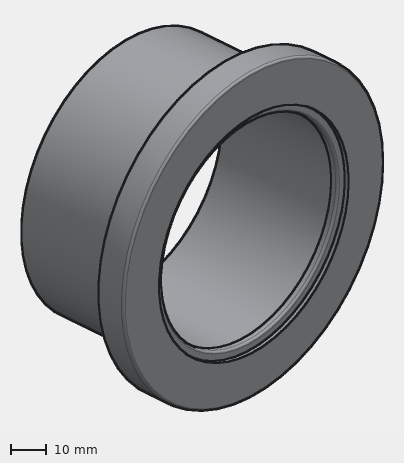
import cadquery as cq

total_length = 48.0
sleeve_diameter = 88.0
flange_diameter = 106.0
flange_thickness = 10.0

bore_diameter = 75.0
bore_depth = 44.0
lip_diameter = 71.25
lip_thickness = 2.5
recess_diameter = 77.0

edge_radius = 0.75

flange_start = total_length - flange_thickness
lip_end = bore_depth + lip_thickness


def cylinder(diameter, start, end):
    """Solid cylinder on the X axis between two stations."""
    return cq.Workplane("YZ").workplane(offset=start).circle(diameter / 2).extrude(end - start)


def make_sleeve():
    """Sleeve with its outer rim at the open end rounded."""
    sleeve = cylinder(sleeve_diameter, 0, total_length)
    return sleeve.faces("<X").edges().fillet(edge_radius)


def make_flange():
    """Flange disc with both outer rims rounded."""
    flange = cylinder(flange_diameter, flange_start, total_length)
    return flange.edges("%CIRCLE").fillet(edge_radius)


def make_lip():
    """Ring that narrows the bore, its inner edge rounded on the recess side."""
    ring = cylinder(recess_diameter, bore_depth, lip_end).cut(cylinder(lip_diameter, bore_depth, lip_end))
    inner_edge = cq.selectors.RadiusNthSelector(0)
    return ring.faces(">X").edges(inner_edge).fillet(edge_radius)


def cut_bore(body):
    """Cut the long bore and round its mouth at the sleeve end."""
    bored = body.cut(cylinder(bore_diameter, 0, bore_depth))
    mouth_edge = cq.selectors.RadiusNthSelector(0)
    return bored.faces("<X").edges(mouth_edge).fillet(edge_radius)


def cut_recess(body):
    """Open the flange end to the recess diameter, down to the floor of the bore."""
    return body.cut(cylinder(recess_diameter, bore_depth, total_length))


shell = cut_recess(cut_bore(make_sleeve().union(make_flange())))
result = shell.union(make_lip())